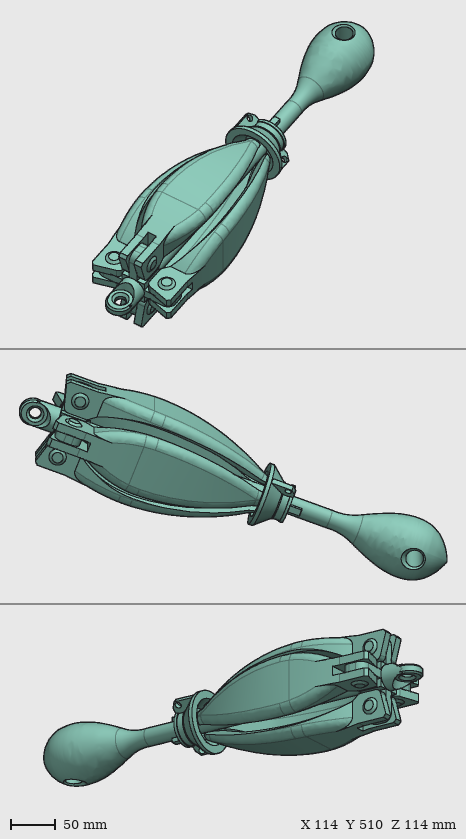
import cadquery as cq
import math

OVERALL_LENGTH = 510
ARM_COUNT = 4
ARM_STEP = 360 / ARM_COUNT

SHANK_RADIUS = 10.45
SHANK_END_Y = 369.0
BULB_BASE_Y = 403
BULB_BASE_RADIUS = 17.5
NECK_MID_Y = 388
NECK_MID_RADIUS = 11.5
BULB_MAX_Y = 460.5
BULB_MAX_RADIUS = 35.0
BULB_LOWER_Y = 430.5
BULB_LOWER_RADIUS = 29.0
BULB_UPPER_Y = 486.0
BULB_UPPER_RADIUS = 30.0
BULB_CROWN_Y = 502.5
BULB_CROWN_RADIUS = 15.0
BULB_HOLE_Y = 471.5
BULB_HOLE_RADIUS = 9.95
BULB_HOLE_CHAMFER = 4.0
BULB_HOLE_RIM_Z = 33.5

COLLAR_BOTTOM_Y = 285.5
COLLAR_TOP_Y = 320.5
FLANGE_RADIUS = 36.0
FLANGE_THICKNESS = 4.5
COLLAR_RIM_RADIUS = 22.0
COLLAR_RIM_THICKNESS = 3.5
GROOVE_RADIUS = 21.0
GROOVE_WIDTH = 8.0
GROOVE_LAND = 1.5
LUG_LENGTH = 35.5
LUG_WIDTH = 6.0
LUG_ANGLE = 41
LUG_CHAMFER_RADIAL = 7.0
LUG_CHAMFER_AXIAL = 5
LUG_HOLE_RADIUS = 3.5
LUG_HOLE_REACH = 30.5
LUG_HOLE_Y = 312.0
RECESS_MOUTH_RADIUS = 27.0
RECESS_TOP_RADIUS = 18.0
RECESS_DEPTH = 13.0
KEY_WIDTH = 7.5
KEY_REACH = 15.05
KEY_LENGTH = 15.0

ARM_WIDTH = 30.0
HALF_ARM = ARM_WIDTH / 2
PIN_Y = 58.0
PIN_Z = 35.0
HUB_LENGTH = 29.5
HUB_BOTTOM_Y = PIN_Y - HUB_LENGTH / 2
TANG_END_Z = PIN_Z + HUB_LENGTH / 2
TANG_THICKNESS = 10.5
TANG_ROUNDING = 10
EYE_THICKNESS = 10.5
EYE_HOLE_Y = 18.0
EYE_HOLE_RADIUS = 6.5
EYE_HOLE_CHAMFER = 3.0
EYE_RIM_CHAMFER = 2.0
SPOTFACE_FLOOR_RADIUS = 14.0
SPOTFACE_RIM_RADIUS = 17.5

PIN_RADIUS = 6.0
PIN_HEAD_RADIUS = 9.5
PIN_HEAD_HEIGHT = 2.5

FLUKE_TIP_Y = 289.0
FLUKE_TIP_LENGTH = 9.5
FLUKE_TIP_HALF_WIDTH = 11.0
FLUKE_WIDEST_Y = 151.5
FLUKE_HALF_WIDTH = 35.45
FLUKE_EDGE_ROUNDING = 10.5
FLUKE_CREST_Y = 139.0
FLUKE_CREST_Z = 57.0
FLUKE_TIP_Z = 21.5
FLUKE_CLEARANCE = 9.0
SHOULDER_Y = 82.0
EAR_OUTER_Z = 52.5
EAR_INNER_Z = 17.5
EAR_START_Y = 73.5
BACK_RIB_END_Y = 112
EAR_END_Y = 36.5
EAR_HEEL_Y = 45.5
EAR_CHAMFER = 3.5
EAR_HEEL_ROUNDING = 7.0
FLUKE_INNER_CURVE = [(255, 21.0), (224.5, 32.5), (194, 39.0), (148, 42.5), (102, 34.5)]
FLUKE_INNER_TIP_Z = 13.5


def about_shank(shape, angle):
    return shape.rotate((0, 0, 0), (0, 1, 0), angle)


def along_y(radius, start_y, end_y):
    """Cylinder on the shank axis."""
    return cq.Workplane("XZ", origin=(0, start_y, 0)).circle(radius).extrude(start_y - end_y)


def along_z(radius, y, height):
    """Cylinder square to the shank, centred on its axis."""
    return cq.Workplane("XY", origin=(0, y, 0)).circle(radius).extrude(height / 2, both=True)


def countersink(y, hole_radius, chamfer, rim_z):
    """Cones that chamfer both ends of a hole along Z; each is widened above its rim."""
    profile = (
        cq.Workplane("XZ", origin=(0, y, 0))
        .polyline([
            (0, rim_z - chamfer),
            (hole_radius, rim_z - chamfer),
            (hole_radius + 2 * chamfer, rim_z + chamfer),
            (0, rim_z + chamfer),
        ])
        .close()
    )
    cone = profile.revolve(360, (0, 0), (0, 1))
    return cone.union(cone.mirror("XY"))


def eye():
    """Round stem, spotfaced from both sides to a flat rounded tongue with a countersunk hole."""
    half_thickness = EYE_THICKNESS / 2
    stem = along_y(HALF_ARM, HALF_ARM, HUB_BOTTOM_Y)
    spotface = (
        cq.Workplane("XZ", origin=(0, EYE_HOLE_Y, 0))
        .polyline([
            (0, half_thickness),
            (SPOTFACE_FLOOR_RADIUS, half_thickness),
            (SPOTFACE_RIM_RADIUS, HALF_ARM),
            (0, HALF_ARM),
        ])
        .close()
        .revolve(360, (0, 0), (0, 1))
    )
    stem = stem.cut(spotface).cut(spotface.mirror("XY"))
    tongue = (
        along_z(HALF_ARM, HALF_ARM, EYE_THICKNESS)
        .faces("|Z")
        .edges()
        .chamfer(EYE_RIM_CHAMFER)
    )
    hole = along_z(EYE_HOLE_RADIUS, EYE_HOLE_Y, ARM_WIDTH)
    rims = countersink(EYE_HOLE_Y, EYE_HOLE_RADIUS, EYE_HOLE_CHAMFER, half_thickness)
    return stem.union(tongue).cut(hole).cut(rims)


def hub():
    """Square block with one drilled tang for each fluke."""
    block = cq.Workplane("XY").box(ARM_WIDTH, HUB_LENGTH, ARM_WIDTH).translate((0, PIN_Y, 0))
    tang = (
        cq.Workplane("XY", origin=(0, PIN_Y, 0))
        .rect(TANG_THICKNESS, HUB_LENGTH)
        .extrude(TANG_END_Z)
        .faces(">Z")
        .edges("|X")
        .fillet(TANG_ROUNDING)
        .cut(pin_hole())
    )
    for arm in range(ARM_COUNT):
        block = block.union(about_shank(tang, arm * ARM_STEP))
    return block


def bulb():
    """Flared neck and egg-shaped grip with a cross hole."""
    profile = (
        cq.Workplane("XY")
        .moveTo(0, SHANK_END_Y)
        .lineTo(SHANK_RADIUS, SHANK_END_Y)
        .threePointArc((NECK_MID_RADIUS, NECK_MID_Y), (BULB_BASE_RADIUS, BULB_BASE_Y))
        .spline(
            [
                (BULB_LOWER_RADIUS, BULB_LOWER_Y),
                (BULB_MAX_RADIUS, BULB_MAX_Y),
                (BULB_UPPER_RADIUS, BULB_UPPER_Y),
                (BULB_CROWN_RADIUS, BULB_CROWN_Y),
                (0, OVERALL_LENGTH),
            ],
            includeCurrent=True,
        )
        .close()
    )
    body = profile.revolve(360, (0, 0), (0, 1))
    hole = along_z(BULB_HOLE_RADIUS, BULB_HOLE_Y, 2 * FLANGE_RADIUS)
    rims = countersink(BULB_HOLE_Y, BULB_HOLE_RADIUS, BULB_HOLE_CHAMFER, BULB_HOLE_RIM_Z)
    return body.cut(hole).cut(rims)


def shank():
    rod = along_y(SHANK_RADIUS, PIN_Y, SHANK_END_Y)
    keys = (
        cq.Workplane("XY")
        .box(KEY_WIDTH, KEY_LENGTH, 2 * KEY_REACH)
        .translate((0, COLLAR_TOP_Y + KEY_LENGTH / 2, 0))
    )
    return rod.union(keys).union(hub()).union(eye()).union(bulb())


def collar():
    """Sliding ring that holds the folded flukes, with two finger lugs."""
    flange_top_y = COLLAR_BOTTOM_Y + FLANGE_THICKNESS
    flange_mid_y = COLLAR_BOTTOM_Y + FLANGE_THICKNESS / 2
    rim_y = COLLAR_TOP_Y - COLLAR_RIM_THICKNESS
    groove_y = rim_y - GROOVE_WIDTH
    ring = (
        cq.Workplane("XY")
        .moveTo(0, COLLAR_BOTTOM_Y)
        .lineTo(FLANGE_RADIUS, COLLAR_BOTTOM_Y)
        .lineTo(FLANGE_RADIUS, flange_top_y)
        .lineTo(COLLAR_RIM_RADIUS, groove_y - GROOVE_LAND)
        .lineTo(COLLAR_RIM_RADIUS, groove_y)
        .lineTo(GROOVE_RADIUS, groove_y)
        .lineTo(GROOVE_RADIUS, rim_y)
        .lineTo(COLLAR_RIM_RADIUS, rim_y)
        .lineTo(COLLAR_RIM_RADIUS, COLLAR_TOP_Y)
        .lineTo(0, COLLAR_TOP_Y)
        .close()
        .revolve(360, (0, 0), (0, 1))
    )
    lug_shoulder_y = COLLAR_TOP_Y - LUG_CHAMFER_AXIAL
    lug_top_reach = LUG_LENGTH - LUG_CHAMFER_RADIAL
    lugs = (
        cq.Workplane("XY")
        .polyline([
            (-LUG_LENGTH, flange_mid_y),
            (-LUG_LENGTH, lug_shoulder_y),
            (-lug_top_reach, COLLAR_TOP_Y),
            (lug_top_reach, COLLAR_TOP_Y),
            (LUG_LENGTH, lug_shoulder_y),
            (LUG_LENGTH, flange_mid_y),
        ])
        .close()
        .extrude(LUG_WIDTH / 2, both=True)
    )
    for reach in (-LUG_HOLE_REACH, LUG_HOLE_REACH):
        lugs = lugs.cut(along_z(LUG_HOLE_RADIUS, LUG_HOLE_Y, LUG_WIDTH).translate((reach, 0, 0)))
    recess = (
        cq.Workplane("XY")
        .polyline([
            (0, COLLAR_BOTTOM_Y),
            (RECESS_MOUTH_RADIUS, COLLAR_BOTTOM_Y),
            (RECESS_TOP_RADIUS, COLLAR_BOTTOM_Y + RECESS_DEPTH),
            (0, COLLAR_BOTTOM_Y + RECESS_DEPTH),
        ])
        .close()
        .revolve(360, (0, 0), (0, 1))
    )
    bore = along_y(SHANK_RADIUS, COLLAR_BOTTOM_Y, COLLAR_TOP_Y)
    return ring.union(about_shank(lugs, LUG_ANGLE)).cut(recess).cut(bore)


def pin_hole():
    """Cylinder across the arm that points along +Z, through fork and tang."""
    return cq.Workplane("YZ").center(PIN_Y, PIN_Z).circle(PIN_RADIUS).extrude(HALF_ARM, both=True)


def pin():
    """Rivet with a low conical head on each end."""
    head_top = HALF_ARM + PIN_HEAD_HEIGHT
    profile = (
        cq.Workplane("XY", origin=(0, PIN_Y, PIN_Z))
        .polyline([
            (-head_top, 0),
            (-head_top, PIN_RADIUS),
            (-HALF_ARM, PIN_HEAD_RADIUS),
            (-HALF_ARM, PIN_RADIUS),
            (HALF_ARM, PIN_RADIUS),
            (HALF_ARM, PIN_HEAD_RADIUS),
            (head_top, PIN_RADIUS),
            (head_top, 0),
        ])
        .close()
    )
    return profile.revolve(360, (0, 0), (1, 0))


def arc_drop(run, radius):
    """How far an arc falls from its crest over a given run."""
    return radius - math.sqrt(radius**2 - run**2)


def arc_radius(run, drop):
    """Radius of the arc that falls by drop from its crest over a given run."""
    return (run**2 + drop**2) / (2 * drop)


def under_back():
    """Everything between the shank axis and the arched back of a fluke."""
    root_run = FLUKE_CREST_Y - EAR_START_Y
    tip_run = FLUKE_TIP_Y - FLUKE_CREST_Y
    root_arc = arc_radius(root_run, FLUKE_CREST_Z - EAR_OUTER_Z)
    tip_arc = arc_radius(tip_run, FLUKE_CREST_Z - FLUKE_TIP_Z)
    root_mid = (FLUKE_CREST_Y - root_run / 2, FLUKE_CREST_Z - arc_drop(root_run / 2, root_arc))
    tip_mid = (FLUKE_CREST_Y + tip_run / 2, FLUKE_CREST_Z - arc_drop(tip_run / 2, tip_arc))
    return (
        cq.Workplane("YZ")
        .moveTo(EAR_START_Y, 0)
        .lineTo(EAR_START_Y, EAR_OUTER_Z)
        .threePointArc(root_mid, (FLUKE_CREST_Y, FLUKE_CREST_Z))
        .threePointArc(tip_mid, (FLUKE_TIP_Y, FLUKE_TIP_Z))
        .lineTo(FLUKE_TIP_Y, 0)
        .close()
        .extrude(FLUKE_HALF_WIDTH, both=True)
    )


def fluke_blade():
    """Leaf-shaped blade with an arched back, rounded edges and a hollow inner side."""
    tip_y = FLUKE_TIP_Y - FLUKE_TIP_LENGTH
    tip_run = tip_y - FLUKE_WIDEST_Y
    root_run = FLUKE_WIDEST_Y - SHOULDER_Y
    tip_arc = arc_radius(tip_run, FLUKE_HALF_WIDTH - FLUKE_TIP_HALF_WIDTH)
    root_arc = arc_radius(root_run, FLUKE_HALF_WIDTH - HALF_ARM)
    tip_mid = (FLUKE_HALF_WIDTH - arc_drop(tip_run / 2, tip_arc), FLUKE_WIDEST_Y + tip_run / 2)
    root_mid = (FLUKE_HALF_WIDTH - arc_drop(root_run / 2, root_arc), FLUKE_WIDEST_Y - root_run / 2)
    leaf = (
        cq.Workplane("XY")
        .moveTo(0, FLUKE_TIP_Y)
        .lineTo(FLUKE_TIP_HALF_WIDTH, FLUKE_TIP_Y)
        .lineTo(FLUKE_TIP_HALF_WIDTH, tip_y)
        .threePointArc(tip_mid, (FLUKE_HALF_WIDTH, FLUKE_WIDEST_Y))
        .threePointArc(root_mid, (HALF_ARM, SHOULDER_Y))
        .lineTo(0, SHOULDER_Y)
        .mirrorY()
        .extrude(FLUKE_CREST_Z)
    )
    blade = leaf.intersect(under_back())
    long_edges = cq.selectors.BoxSelector(
        (-2 * FLUKE_HALF_WIDTH, SHOULDER_Y + 5, FLUKE_TIP_Z / 2 + 5),
        (2 * FLUKE_HALF_WIDTH, FLUKE_TIP_Y - 0.5, 2 * FLUKE_CREST_Z),
    )
    blade = blade.edges(long_edges).edges("not |Z").fillet(FLUKE_EDGE_ROUNDING)
    rib_length = BACK_RIB_END_Y - EAR_START_Y
    rib = (
        cq.Workplane("XY", origin=(0, EAR_START_Y + rib_length / 2, 0))
        .rect(ARM_WIDTH, rib_length)
        .extrude(FLUKE_CREST_Z)
        .intersect(under_back())
    )
    inside = (
        cq.Workplane("YZ")
        .moveTo(FLUKE_TIP_Y, FLUKE_INNER_TIP_Z)
        .spline(FLUKE_INNER_CURVE + [(EAR_START_Y, EAR_INNER_Z)], includeCurrent=True)
        .lineTo(EAR_START_Y, 0)
        .lineTo(FLUKE_TIP_Y, 0)
        .close()
        .extrude(FLUKE_HALF_WIDTH, both=True)
    )
    wedge = (
        cq.Workplane("XZ")
        .polyline([
            (0, FLUKE_CLEARANCE),
            (FLUKE_CREST_Z, FLUKE_CREST_Z + FLUKE_CLEARANCE),
            (-FLUKE_CREST_Z, FLUKE_CREST_Z + FLUKE_CLEARANCE),
        ])
        .close()
        .extrude(-OVERALL_LENGTH)
    )
    return blade.intersect(wedge).union(rib).cut(inside)


def fork():
    """Pair of ears that straddle a tang, drilled for the pin."""
    block = (
        cq.Workplane("YZ")
        .polyline([
            (EAR_START_Y, EAR_OUTER_Z),
            (EAR_END_Y + EAR_CHAMFER, EAR_OUTER_Z),
            (EAR_END_Y, EAR_OUTER_Z - EAR_CHAMFER),
            (EAR_HEEL_Y, EAR_INNER_Z),
            (EAR_START_Y, EAR_INNER_Z),
        ])
        .close()
        .extrude(HALF_ARM, both=True)
    )
    heel = cq.selectors.NearestToPointSelector((0, EAR_HEEL_Y, EAR_INNER_Z))
    return block.edges("|X").edges(heel).fillet(EAR_HEEL_ROUNDING)


def fluke():
    slot_length = SHOULDER_Y - EAR_END_Y
    slot = (
        cq.Workplane("XY", origin=(0, EAR_END_Y + slot_length / 2, 0))
        .rect(TANG_THICKNESS, slot_length)
        .extrude(FLUKE_CREST_Z)
    )
    return fluke_blade().union(fork()).cut(slot).cut(pin_hole())


anchor_shank = shank()
anchor_collar = collar()
flukes = [about_shank(fluke(), arm * ARM_STEP) for arm in range(ARM_COUNT)]
pins = [about_shank(pin(), arm * ARM_STEP) for arm in range(ARM_COUNT)]

result = cq.Compound.makeCompound([
    anchor_shank.val(),
    anchor_collar.val(),
    *[body.val() for body in flukes],
    *[body.val() for body in pins],
])